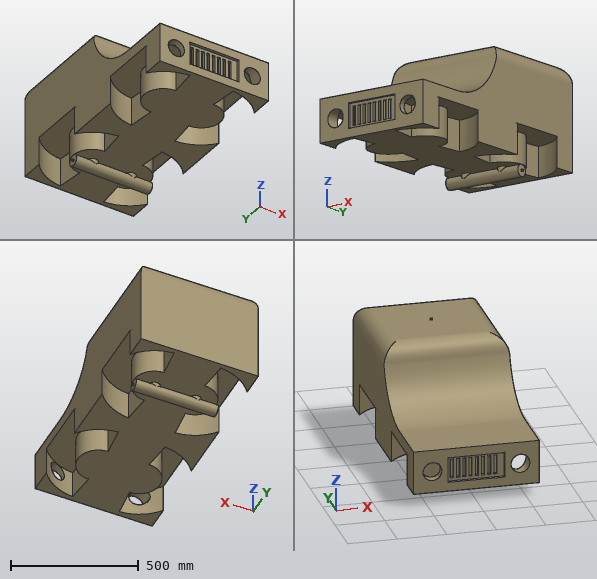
import cadquery as cq
import math


length = 965.0
width = 508.0
hood_height = 179.0
roof_height = 432.0
roof_round = 76.0
windshield_radius = roof_height - hood_height
round_z = roof_height - roof_round
tail_round_y = length - roof_round

wheel_inset = 229.0
front_wheel_y = wheel_inset
rear_wheel_y = length - wheel_inset
well_opening = 254.0
well_height = 127.0
column_radius = 89.0
column_x = column_radius
wall_tilt = 6.0
well_radius = math.hypot(width / 2 - column_x, well_opening / 2)

nose_round_y = front_wheel_y + math.sqrt((windshield_radius + roof_round) ** 2 - roof_round**2)

headlight_radius = 38.0
headlight_x = 178.0
headlight_z = 89.0
headlight_depth = 76.0

grille_width = 229.0
grille_bottom = 38.0
grille_top = 141.0
grille_depth = 13.0
slot_count = 8
slot_width = 13.0
slot_pitch = 25.0
first_slot_x = -96.0
slot_margin = 13.0
slot_depth = 13.0

stub_radius = 5.0
stub_length = 6.0
axle_radius = 25.0
axle_length = 2 * (column_x + column_radius)
axle_z = -axle_radius


def point_on_arc(center_y, center_z, radius, angle):
    """Point in YZ on a circle; the angle in radians turns from +Y towards +Z."""
    return (center_y + radius * math.cos(angle), center_z + radius * math.sin(angle))


def make_side_shape():
    """Side outline across the full width: flat hood, concave windshield, roof rounded at nose and tail."""
    tilt = math.asin(roof_round / (windshield_radius + roof_round))
    windshield_top = point_on_arc(front_wheel_y, roof_height, windshield_radius, -tilt)
    windshield_middle = point_on_arc(front_wheel_y, roof_height, windshield_radius, -(tilt + math.pi / 2) / 2)
    nose_round_middle = point_on_arc(nose_round_y, round_z, roof_round, (3 * math.pi / 2 - tilt) / 2)
    tail_round_middle = point_on_arc(tail_round_y, round_z, roof_round, math.pi / 4)
    return (
        cq.Workplane("YZ", origin=(-width / 2, 0, 0))
        .lineTo(0, hood_height)
        .lineTo(front_wheel_y, hood_height)
        .threePointArc(windshield_middle, windshield_top)
        .threePointArc(nose_round_middle, (nose_round_y, roof_height))
        .lineTo(tail_round_y, roof_height)
        .threePointArc(tail_round_middle, (length, round_z))
        .lineTo(length, 0)
        .close()
        .extrude(width)
    )


def make_shell():
    """Side shape trimmed to a cross-section with rounded roof edges, with a short aerial on the roof."""
    cross_section = (
        cq.Workplane("XY")
        .box(width, length, roof_height, centered=(True, False, False))
        .edges("|Y and >Z")
        .fillet(roof_round)
    )
    aerial_y = (nose_round_y + tail_round_y) / 2
    aerial = cq.Workplane("XY", origin=(0, aerial_y, roof_height)).circle(stub_radius).extrude(stub_length)
    return make_side_shape().intersect(cross_section).union(aerial)


def make_wheel_well(side, wheel_y):
    """Half ring around a round column, its end walls turned towards the opening; side is -1 or +1."""
    center = (side * column_x, wheel_y, 0)
    ring = cq.Workplane("XY", origin=center).circle(well_radius).circle(column_radius).extrude(well_height)
    wall_offset = side * (well_radius - column_radius) * math.tan(math.radians(wall_tilt))
    outer_x = side * well_radius
    outer_part = (
        cq.Workplane("XY", origin=center)
        .moveTo(0, -column_radius)
        .lineTo(0, column_radius)
        .lineTo(wall_offset, well_radius)
        .lineTo(outer_x, well_radius)
        .lineTo(outer_x, -well_radius)
        .lineTo(wall_offset, -well_radius)
        .close()
        .extrude(well_height)
    )
    return ring.intersect(outer_part)


def make_headlight(x):
    """Round hole that opens into the front wheel well."""
    return cq.Workplane("XZ", origin=(x, 0, headlight_z)).circle(headlight_radius).extrude(-headlight_depth)


def make_grille():
    """Rectangular recess with a row of upright slots in its floor."""
    grille_height = grille_top - grille_bottom
    middle_z = (grille_top + grille_bottom) / 2
    recess = (
        cq.Workplane("XZ", origin=(0, 0, middle_z))
        .rect(grille_width, grille_height)
        .extrude(-grille_depth)
    )
    slot_centers = [(first_slot_x + i * slot_pitch, 0) for i in range(slot_count)]
    slots = (
        cq.Workplane("XZ", origin=(0, grille_depth, middle_z))
        .pushPoints(slot_centers)
        .rect(slot_width, grille_height - 2 * slot_margin)
        .extrude(-slot_depth)
    )
    return recess.union(slots)


def make_truck_body():
    truck = make_shell().cut(make_grille())
    for side in (-1, 1):
        truck = truck.cut(make_headlight(side * headlight_x))
        for wheel_y in (front_wheel_y, rear_wheel_y):
            truck = truck.cut(make_wheel_well(side, wheel_y))
    return truck


def make_cross_rod(radius, rod_length):
    """Rod along X on the rear axle line."""
    start = (-rod_length / 2, rear_wheel_y, axle_z)
    return cq.Workplane("YZ", origin=start).circle(radius).extrude(rod_length)


def make_rear_axle():
    """Axle with a thin stub at each end, hung from the rear columns by two posts of its own radius."""
    axle = make_cross_rod(axle_radius, axle_length)
    stubs = make_cross_rod(stub_radius, axle_length + 2 * stub_length)
    posts = (
        cq.Workplane("XY", origin=(0, rear_wheel_y, axle_z))
        .pushPoints([(-column_x, 0), (column_x, 0)])
        .circle(axle_radius)
        .extrude(axle_radius)
    )
    return axle.union(stubs).union(posts)


truck_body = make_truck_body()
rear_axle = make_rear_axle()
result = cq.Compound.makeCompound([truck_body.val(), rear_axle.val()])